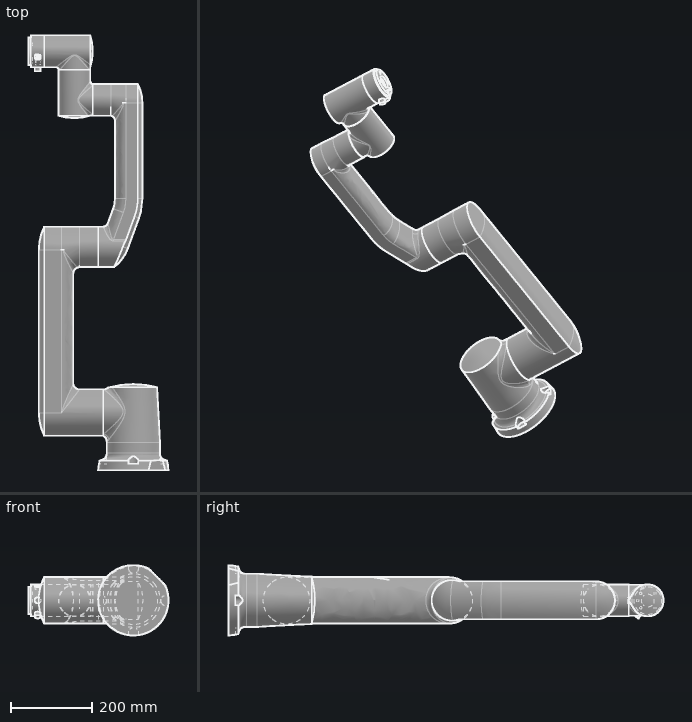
import cadquery as cq
import math


shoulder_y = 142.5
upper_arm_length = 408.0
elbow_y = shoulder_y + upper_arm_length
forearm_length = 362.0
wrist_y = elbow_y + forearm_length
tool_y = wrist_y + 119.5
wrist_x = -145.0

shoulder_joint_x = -74.0
elbow_joint_x = -86.5
wrist_joint_x = -100.0
wrist_tool_joint_y = tool_y - 46.0
tool_joint_x = -219.5

end_allowance = 40.0

base_radius = 87.0
base_rim_radius = 84.5
base_rim_height = 24.0
base_flange_top = 27.0
base_flat_distance = 82.0
base_flat_angle = -45.0
neck_radius = 66.0
neck_bottom = 43.5
neck_top = 70.0
flare_radius = 77.0
flare_hollow = 3.0
flare_rise = 5.0
shoulder_top_radius = 58.8
shoulder_top = 205.0
shoulder_dome = 8.0
shoulder_blend = 14.0
bolt_pocket_radius = 12.5
bolt_pocket_offset = 79.5
bolt_pocket_floor = 17.0
bolt_pocket_count = 4

arm_half_width = 57.5
arm_outer_x = -219.5
arm_crown = 13.5
arm_flat = 41.5
arm_inner_depth = 30.5
arm_blend = 14.0
elbow_radius = 50.0
elbow_taper_end_x = -133.0

forearm_half_width = 47.0
forearm_outer_x = 11.0
forearm_crown = 11.8
forearm_flat = 30.0
forearm_inner_depth = 26.5
forearm_bend_start_y = 670.0
forearm_bend_radius = 130.0
forearm_lean = 20.0
forearm_blend = 12.0
wrist_taper_end_x = -55.0

wrist_radius = 39.5
wrist_branch_radius = 38.5
wrist_blend = 8.0
wrist_end_offset = 39.0
wrist_dome = 6.5
tool_face_x = -252.0
tool_lip_radius = 34.0
tool_lip_depth = 6.3
tool_bore_radius = 15.75
tool_bore_depth = 6.3
tool_hole_circle_radius = 25.0
tool_hole_radius = 3.0
tool_hole_depth = 10.0
tool_hole_angles = (45, 135, 180, 225, 315)
connector_x = -235.5
connector_radius = 7.5
connector_reach = 49.5
connector_root = 4.0
socket_depth = 8.0
socket_pin_radius = 2.5
socket_pin_recess = 1.0
straight_connector_angle = 90.0
lower_connector_angle = 145.0
socket_angle = 22.0


def cylinder_x(radius, x_start, x_end, y):
    """Round bar along X at height y."""
    return cq.Workplane("YZ", origin=(x_start, y, 0)).circle(radius).extrude(x_end - x_start)


def cylinder_y(radius, y_start, y_end, x):
    """Round bar along Y at position x."""
    plane = cq.Plane(origin=(x, y_start, 0), xDir=(-1, 0, 0), normal=(0, 1, 0))
    return cq.Workplane(plane).circle(radius).extrude(y_end - y_start)


def dome(centre, radius, rise, direction):
    """Shallow spherical cap that stands on a disc and bulges towards direction."""
    outward = cq.Vector(direction)
    across = cq.Vector(0, 0, 1)
    plane = cq.Plane(origin=centre, xDir=across, normal=across.cross(outward))
    sphere_radius = (radius**2 + rise**2) / (2 * rise)
    half_angle = math.asin(radius / sphere_radius) / 2
    arc_middle = (
        sphere_radius * math.sin(half_angle),
        rise - sphere_radius * (1 - math.cos(half_angle)),
    )
    return (
        cq.Workplane(plane)
        .lineTo(radius, 0)
        .threePointArc(arc_middle, (0, rise))
        .close()
        .revolve(360, (0, 0), (0, 1))
    )


def taper_x(x_large, y_large, r_large, x_small, y_small, r_small):
    """Loft between two round sections that face along X."""
    large = cq.Wire.makeCircle(r_large, cq.Vector(x_large, y_large, 0), cq.Vector(1, 0, 0))
    small = cq.Wire.makeCircle(r_small, cq.Vector(x_small, y_small, 0), cq.Vector(1, 0, 0))
    return cq.Workplane(cq.Solid.makeLoft([large, small], True))


def link_section(plane, half_width, crown, flat, inner_depth):
    """Link cross-section: crowned outer side at +x, two flats, half-elliptical inner side."""
    return (
        plane.moveTo(-flat, -half_width)
        .lineTo(0, -half_width)
        .threePointArc((crown, 0), (0, half_width))
        .lineTo(-flat, half_width)
        .ellipseArc(inner_depth, half_width, 90, 270, startAtCurrent=True)
        .close()
    )


def blended_tee(barrel, branch, blend, waste):
    """Barrel with a side branch: blend their joint, then trim the barrel's overlong end."""
    joined = barrel.union(branch)
    return joined.edges("%BSPLINE").fillet(blend).cut(waste)


def make_base():
    flare_middle = (neck_radius + flare_hollow, base_flange_top + flare_rise)
    untrimmed_top = shoulder_top + end_allowance
    taper = (neck_radius - shoulder_top_radius) / (shoulder_top - neck_top)
    turned = (
        cq.Workplane("XY")
        .lineTo(base_radius, 0)
        .lineTo(base_rim_radius, base_rim_height)
        .lineTo(flare_radius, base_flange_top)
        .threePointArc(flare_middle, (neck_radius, neck_bottom))
        .lineTo(neck_radius, neck_top)
        .lineTo(shoulder_top_radius - taper * end_allowance, untrimmed_top)
        .lineTo(0, untrimmed_top)
        .close()
        .revolve(360, (0, 0), (0, 1))
    )
    branch = cylinder_x(arm_half_width, shoulder_joint_x, 0, shoulder_y)
    waste = cylinder_y(base_radius, shoulder_top, untrimmed_top, 0)
    body = blended_tee(turned, branch, shoulder_blend, waste)
    body = body.union(dome((0, shoulder_top, 0), shoulder_top_radius, shoulder_dome, (0, 1, 0)))

    flat_cut = (
        cq.Workplane("XY")
        .box(base_radius, base_flange_top, 2 * base_radius, centered=(False, False, True))
        .translate((base_flat_distance, 0, 0))
        .rotate((0, 0, 0), (0, 1, 0), base_flat_angle)
    )
    body = body.cut(flat_cut)
    for index in range(bolt_pocket_count):
        pocket = cylinder_y(bolt_pocket_radius, bolt_pocket_floor, neck_bottom, bolt_pocket_offset)
        body = body.cut(pocket.rotate((0, 0, 0), (0, 1, 0), index * 360 / bolt_pocket_count))
    return body


def make_upper_arm():
    end_y = elbow_y + elbow_radius - arm_half_width
    flat_end_x = arm_outer_x + arm_flat
    beam_plane = cq.Workplane(
        cq.Plane(origin=(arm_outer_x, shoulder_y, 0), xDir=(-1, 0, 0), normal=(0, 1, 0))
    )
    beam = link_section(beam_plane, arm_half_width, arm_crown, arm_flat, arm_inner_depth)
    beam = beam.extrude(end_y - shoulder_y)
    body = (
        beam.union(cylinder_x(arm_half_width, arm_outer_x, shoulder_joint_x, shoulder_y))
        .union(cylinder_x(arm_half_width, arm_outer_x, flat_end_x, end_y))
        .union(taper_x(flat_end_x, end_y, arm_half_width, elbow_taper_end_x, elbow_y, elbow_radius))
        .union(cylinder_x(elbow_radius, elbow_taper_end_x, elbow_joint_x, elbow_y))
    )
    middle_y = (shoulder_y + elbow_y) / 2
    for low_y, high_y in ((middle_y, elbow_y - elbow_radius / 2), (shoulder_y, middle_y)):
        corner = cq.selectors.BoxSelector(
            (flat_end_x, low_y, -arm_half_width), (elbow_taper_end_x, high_y, arm_half_width)
        )
        body = body.edges("%BSPLINE").edges(corner).fillet(arm_blend)
    for y in (shoulder_y, end_y):
        body = body.union(dome((arm_outer_x, y, 0), arm_half_width, arm_crown, (-1, 0, 0)))
    return body


def make_forearm():
    end_y = wrist_y + wrist_radius - forearm_half_width
    flat_end_x = forearm_outer_x - forearm_flat
    lean = math.radians(forearm_lean)
    bend_centre_x = forearm_outer_x - forearm_bend_radius

    def on_bend(angle):
        return (
            bend_centre_x + forearm_bend_radius * math.cos(angle),
            forearm_bend_start_y - forearm_bend_radius * math.sin(angle),
        )

    bend_end = on_bend(lean)
    lower_length = (bend_end[1] - elbow_y) / math.cos(lean)
    lower_end = (bend_end[0] - lower_length * math.sin(lean), elbow_y)
    path = (
        cq.Workplane("XY")
        .moveTo(forearm_outer_x, end_y)
        .lineTo(forearm_outer_x, forearm_bend_start_y)
        .threePointArc(on_bend(lean / 2), bend_end)
        .lineTo(*lower_end)
    )
    beam_plane = cq.Workplane(
        cq.Plane(origin=(forearm_outer_x, end_y, 0), xDir=(1, 0, 0), normal=(0, -1, 0))
    )
    beam = link_section(
        beam_plane, forearm_half_width, forearm_crown, forearm_flat, forearm_inner_depth
    ).sweep(path)

    crown_radius = (forearm_half_width**2 + forearm_crown**2) / (2 * forearm_crown)
    crown_plane = cq.Plane(
        origin=(*lower_end, 0),
        xDir=(math.cos(lean), -math.sin(lean), 0),
        normal=(math.sin(lean), math.cos(lean), 0),
    )
    crown_base = cq.Workplane(crown_plane).center(forearm_crown - crown_radius, 0)
    trim = crown_base.circle(crown_radius).extrude(2 * elbow_radius)
    trim = trim.union(crown_base.sphere(crown_radius))
    barrel = cylinder_x(elbow_radius, elbow_joint_x, forearm_outer_x + elbow_radius, elbow_y)
    barrel = barrel.intersect(trim)

    body = (
        beam.union(barrel)
        .union(cylinder_x(forearm_half_width, flat_end_x, forearm_outer_x, end_y))
        .union(dome((forearm_outer_x, end_y, 0), forearm_half_width, forearm_crown, (1, 0, 0)))
        .union(
            taper_x(flat_end_x, end_y, forearm_half_width, wrist_taper_end_x, wrist_y, wrist_radius)
        )
        .union(cylinder_x(wrist_radius, wrist_joint_x, wrist_taper_end_x, wrist_y))
    )
    elbow_corner = cq.selectors.BoxSelector(
        (elbow_joint_x, elbow_y + elbow_radius / 2, -elbow_radius),
        (flat_end_x - forearm_inner_depth, forearm_bend_start_y, elbow_radius),
    )
    wrist_corner = cq.selectors.BoxSelector(
        (wrist_taper_end_x, wrist_y - 2 * wrist_radius, -wrist_radius),
        (flat_end_x, wrist_y - wrist_radius / 2, wrist_radius),
    )
    for corner in (elbow_corner, wrist_corner):
        body = body.edges("%BSPLINE").edges(corner).fillet(forearm_blend)
    return body


def make_first_wrist():
    bottom_y = wrist_y - wrist_end_offset
    untrimmed_bottom = bottom_y - end_allowance
    barrel = cylinder_y(wrist_radius, untrimmed_bottom, wrist_tool_joint_y, wrist_x)
    branch = cylinder_x(wrist_branch_radius, wrist_x, wrist_joint_x, wrist_y)
    waste = cylinder_y(2 * wrist_radius, untrimmed_bottom, bottom_y, wrist_x)
    body = blended_tee(barrel, branch, wrist_blend, waste)
    return body.union(dome((wrist_x, bottom_y, 0), wrist_radius, wrist_dome, (0, -1, 0)))


def make_second_wrist():
    end_x = wrist_x + wrist_end_offset
    untrimmed_end = end_x + end_allowance
    barrel = cylinder_x(wrist_radius, tool_joint_x, untrimmed_end, tool_y)
    branch = cylinder_y(wrist_branch_radius, wrist_tool_joint_y, tool_y, wrist_x)
    waste = cylinder_x(2 * wrist_radius, end_x, untrimmed_end, tool_y)
    body = blended_tee(barrel, branch, wrist_blend, waste)
    return body.union(dome((end_x, tool_y, 0), wrist_radius, wrist_dome, (1, 0, 0)))


def tool_side_pin(radius, inner, outer, angle):
    """Round pin on the tool flange's side, turned about its axis from +Z towards -Y."""
    pin = cq.Workplane("XY", origin=(connector_x, tool_y, inner)).circle(radius).extrude(outer - inner)
    return pin.rotate((0, tool_y, 0), (1, tool_y, 0), angle)


def make_tool_flange():
    lip_x = tool_face_x - tool_lip_depth
    body = cylinder_x(wrist_radius, tool_face_x, tool_joint_x, tool_y)
    body = body.union(cylinder_x(tool_lip_radius, lip_x, tool_face_x, tool_y))
    body = body.cut(cylinder_x(tool_bore_radius, lip_x, lip_x + tool_bore_depth, tool_y))

    for angle in tool_hole_angles:
        hole_y = tool_y + tool_hole_circle_radius * math.cos(math.radians(angle))
        hole_z = tool_hole_circle_radius * math.sin(math.radians(angle))
        hole = cylinder_x(tool_hole_radius, lip_x, lip_x + tool_hole_depth, hole_y)
        body = body.cut(hole.translate((0, 0, hole_z)))

    for angle in (straight_connector_angle, lower_connector_angle):
        root = wrist_radius - connector_root
        body = body.union(tool_side_pin(connector_radius, root, connector_reach, angle))

    socket_floor = wrist_radius - socket_depth
    body = body.cut(tool_side_pin(connector_radius, socket_floor, connector_reach, socket_angle))
    pin_root = socket_floor - connector_root
    pin_top = wrist_radius - socket_pin_recess
    return body.union(tool_side_pin(socket_pin_radius, pin_root, pin_top, socket_angle))


base = make_base()
upper_arm = make_upper_arm()
forearm = make_forearm()
first_wrist = make_first_wrist()
second_wrist = make_second_wrist()
tool_flange = make_tool_flange()

result = cq.Compound.makeCompound(
    [
        base.val(),
        upper_arm.val(),
        forearm.val(),
        first_wrist.val(),
        second_wrist.val(),
        tool_flange.val(),
    ]
)